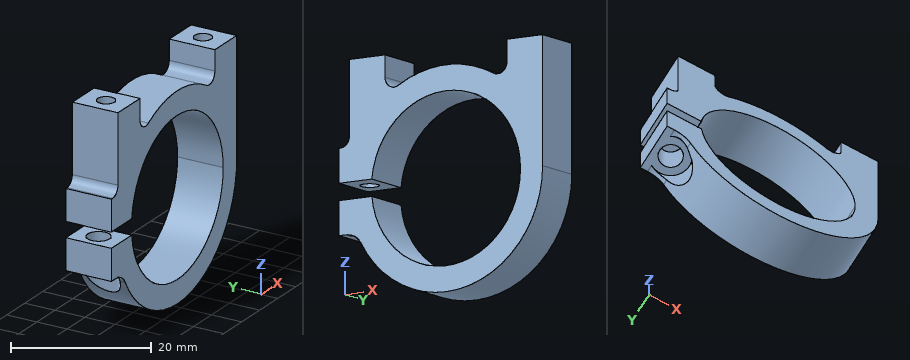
import cadquery as cq
import math

width = 7.6
ring_radius = 16.5
bore_radius = 12.7

top_z = 19.05
post_width = 6.1
post_fillet = 1.55
mount_hole_diameter = 2.75
mount_hole_depth = 8.0

lug_end_x = -18.3
lug_half_height = 6.35
slot_height = 2.5
upper_lug_fillet = 1.5
lower_lug_fillet = 3.0
clamp_hole_diameter = 3.6
clamp_thread_diameter = 2.75
clamp_thread_depth = 4.0
spotface_diameter = 6.2

drill_point_angle = 118

post_inner_x = ring_radius - post_width
post_center_x = ring_radius - post_width / 2
clamp_x = (lug_end_x - bore_radius) / 2


def on_circle(center, radius, toward):
    """Point on a circle in the direction of another point."""
    dx = toward[0] - center[0]
    dz = toward[1] - center[1]
    distance = math.hypot(dx, dz)
    return (center[0] + radius * dx / distance, center[1] + radius * dz / distance)


def fillet_arc(center, radius, start, end):
    """Middle and end points of the short arc between two points."""
    chord_middle = ((start[0] + end[0]) / 2, (start[1] + end[1]) / 2)
    return on_circle(center, radius, chord_middle), end


def make_body():
    """Ring, posts and lug as one outline, with fillets tangent to the ring."""
    ring_center = (0, 0)

    valley_x = post_inner_x - post_fillet
    valley_z = math.sqrt((ring_radius + post_fillet) ** 2 - valley_x**2)
    right_valley = (valley_x, valley_z)
    left_valley = (-valley_x, valley_z)
    right_valley_start = on_circle(ring_center, ring_radius, right_valley)
    left_valley_start = on_circle(ring_center, ring_radius, left_valley)
    right_post_foot = (post_inner_x, valley_z)
    left_post_foot = (-post_inner_x, valley_z)

    blend_z = -lug_half_height - lower_lug_fillet
    blend_x = -math.sqrt((ring_radius + lower_lug_fillet) ** 2 - blend_z**2)
    blend = (blend_x, blend_z)
    blend_start = on_circle(ring_center, ring_radius, blend)
    blend_end = (blend_x, -lug_half_height)

    corner = (-ring_radius - upper_lug_fillet, lug_half_height + upper_lug_fillet)
    corner_start = (corner[0], lug_half_height)
    corner_end = (-ring_radius, corner[1])

    outline = (
        cq.Workplane("XZ")
        .moveTo(ring_radius, 0)
        .threePointArc((0, -ring_radius), blend_start)
        .threePointArc(*fillet_arc(blend, lower_lug_fillet, blend_start, blend_end))
        .lineTo(lug_end_x, -lug_half_height)
        .lineTo(lug_end_x, lug_half_height)
        .lineTo(*corner_start)
        .threePointArc(*fillet_arc(corner, upper_lug_fillet, corner_start, corner_end))
        .lineTo(-ring_radius, top_z)
        .lineTo(-post_inner_x, top_z)
        .lineTo(*left_post_foot)
        .threePointArc(*fillet_arc(left_valley, post_fillet, left_post_foot, left_valley_start))
        .threePointArc((0, ring_radius), right_valley_start)
        .threePointArc(*fillet_arc(right_valley, post_fillet, right_valley_start, right_post_foot))
        .lineTo(post_inner_x, top_z)
        .lineTo(ring_radius, top_z)
        .close()
    )
    return outline.extrude(width / 2, both=True)


def make_cylinder(x, bottom_z, diameter, height):
    """Vertical cylinder in the middle of the part's width."""
    return cq.Workplane("XY", origin=(x, 0, bottom_z)).circle(diameter / 2).extrude(height)


def make_drilling(x, mouth_z, diameter, depth, direction):
    """Blind drilled hole with a conical end; direction is 1 for up, -1 for down."""
    radius = diameter / 2
    end_z = mouth_z + direction * depth
    point_z = end_z + direction * radius / math.tan(math.radians(drill_point_angle / 2))
    return (
        cq.Workplane("XZ", origin=(x, 0, 0))
        .moveTo(0, mouth_z)
        .lineTo(radius, mouth_z)
        .lineTo(radius, end_z)
        .lineTo(0, point_z)
        .close()
        .revolve(360, (0, 0), (0, 1))
    )


result = make_body()

bore = cq.Workplane("XZ").circle(bore_radius).extrude(width / 2, both=True)
slot = cq.Workplane("XY").box(-lug_end_x, width, slot_height).translate((lug_end_x / 2, 0, 0))
result = result.cut(bore).cut(slot)

for side in (-1, 1):
    result = result.cut(
        make_drilling(side * post_center_x, top_z, mount_hole_diameter, mount_hole_depth, -1)
    )

spotface = make_cylinder(clamp_x, -ring_radius, spotface_diameter, ring_radius - lug_half_height)
clearance = make_cylinder(clamp_x, -lug_half_height, clamp_hole_diameter, lug_half_height)
thread = make_drilling(clamp_x, slot_height / 2, clamp_thread_diameter, clamp_thread_depth, 1)
result = result.cut(spotface).cut(clearance).cut(thread)